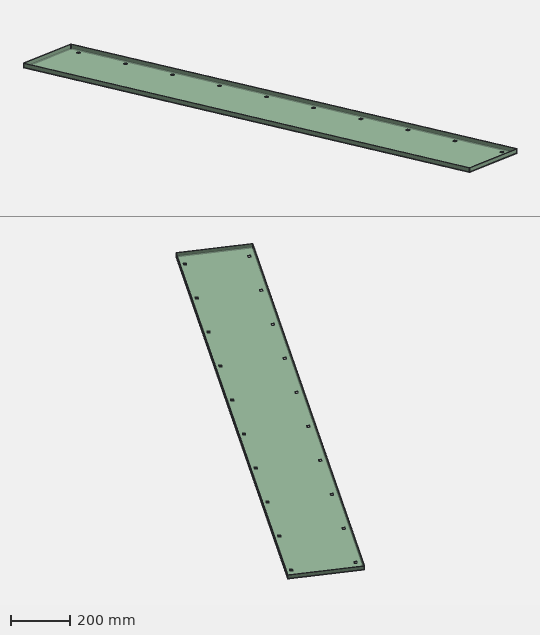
import cadquery as cq

length = 1897.0
width = 265.0
height = 16.5

sheet_thickness = 1.5
inner_bend_radius = 0.2
outer_bend_radius = sheet_thickness + inner_bend_radius

corner_relief = outer_bend_radius

hole_side = 10.0
hole_count = 10
row_length = 1800.0
row_spacing = 222.0
hole_pitch = row_length / (hole_count - 1)


def make_round_bottom_bar(span, run, bottom, bend_radius):
    """Bar spanning X and running along Y, its two lower long edges rounded."""
    return (
        cq.Workplane("XY")
        .workplane(offset=bottom)
        .rect(span, run)
        .extrude(height - bottom)
        .edges("|Y and <Z")
        .fillet(bend_radius)
    )


def make_bent_channel(span, run):
    """Flat floor with a rim bent up at both ends of the span."""
    outer = make_round_bottom_bar(span, run, 0, outer_bend_radius)
    inner_span = span - 2 * sheet_thickness
    inner = make_round_bottom_bar(inner_span, run, sheet_thickness, inner_bend_radius)
    return outer.cut(inner)


def make_tray():
    """Floor with a rim on all four sides and open corners."""
    rim_length = length - 2 * corner_relief
    rim_width = width - 2 * corner_relief
    end_rims = make_bent_channel(length, rim_width)
    side_rims = make_bent_channel(width, rim_length).rotate((0, 0, 0), (0, 0, 1), 90)
    return end_rims.union(side_rims)


def make_mounting_holes():
    """Square prisms that pierce the floor along both long sides."""
    return (
        cq.Workplane("XY")
        .rarray(hole_pitch, row_spacing, hole_count, 2)
        .rect(hole_side, hole_side)
        .extrude(sheet_thickness)
    )


result = make_tray().cut(make_mounting_holes())